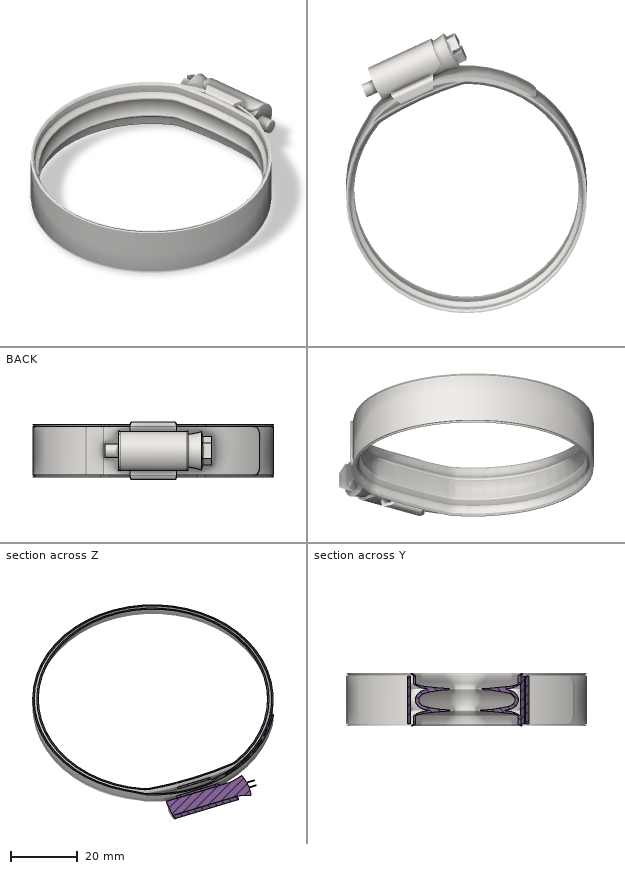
import cadquery as cq
import math


BAND_OUTER_R = 36.1
BAND_THICKNESS = 0.6
BAND_WIDTH = 14.5
LAP_CLEARANCE = 0.05
BAND_START_ANGLE = 98.5
JOG_START_ANGLE = 56
JOG_END_ANGLE = 66
TAIL_END_ANGLE = 150
TAIL_CORNER_R = 2.6

LINER_OUTER_R = BAND_OUTER_R - BAND_THICKNESS
LINER_THICKNESS = 0.4
LINER_HALF_WIDTH = 7.9
LIP_START_Z = 7.3
LIP_FLARE = 0.5
FLAT_END_Z = 4.8
BEAD_SLOPE_Z = 3.6
BEAD_CREST_Z = 3.2
BEAD_GROOVE_Z = 2.8
BEAD_HEIGHT = 1.4
CREST_ROUND_SLOPE_SIDE = 0.2
CREST_ROUND_GROOVE_SIDE = 0.2
GROOVE_SAGITTA = 0.9
BRIDGE_R = 100
BRIDGE_BLEND_R = 8
LINER_SPLIT_X = 4.9
LINER_SPLIT_GAP = 0.05

SCREW_Y = 40.85
SCREW_R = 4.95
SCREW_HEAD_X = -17.5
FLANGE_X = -14.4
FLANGE_R = 5.75
FLANGE_DOME = 1.0
NECK_SAG = 0.1
TIP_R = 2.05
TIP_END_X = 14.45
HEX_ACROSS_FLATS = 8.1
SLOT_WIDTH = 1.5

SLEEVE_OUTER_R = 5.9
SLEEVE_HALF_LENGTH = 10.4
RIM_LENGTH = 0.5
RIM_FLARE = 0.05
SLEEVE_EDGE_Y = 40.2
LOOP_HALF_WIDTH = 8.65
LOOP_TOP_Y = 37.95
LOOP_BOTTOM_Y = 34.0
LOOP_THICKNESS = 0.9
LOOP_TOP_CORNER_R = 1.3
LOOP_BOTTOM_CORNER_R = 0.9
SADDLE_HALF_TOP = 7.0
SADDLE_HALF_BOTTOM = 5.1
SADDLE_CURVE_BULGE = 0.3


def polar(radius, angle):
    """Point in the XY plane at the given radius and angle in degrees."""
    a = math.radians(angle)
    return (radius * math.cos(a), radius * math.sin(a))


def make_screw():
    """Worm screw: slotted hex head, domed flange, waisted neck, thread core and plain tip."""
    dome_x = FLANGE_X - FLANGE_DOME
    dome_mid_r = FLANGE_R / 2
    dome_radius = (FLANGE_R**2 + FLANGE_DOME**2) / (2 * FLANGE_DOME)
    dome_mid_x = dome_x + dome_radius - math.sqrt(dome_radius**2 - dome_mid_r**2)
    neck_mid_x = (FLANGE_X - SLEEVE_HALF_LENGTH) / 2
    neck_mid_r = (FLANGE_R + SCREW_R) / 2 - NECK_SAG
    shaft = (
        cq.Workplane("XY")
        .moveTo(dome_x, 0)
        .threePointArc((dome_mid_x, dome_mid_r), (FLANGE_X, FLANGE_R))
        .threePointArc((neck_mid_x, neck_mid_r), (-SLEEVE_HALF_LENGTH, SCREW_R))
        .lineTo(SLEEVE_HALF_LENGTH, SCREW_R)
        .lineTo(SLEEVE_HALF_LENGTH, TIP_R)
        .lineTo(TIP_END_X, TIP_R)
        .lineTo(TIP_END_X, 0)
        .close()
        .revolve(360, (0, 0, 0), (1, 0, 0))
    )
    hex_diameter = HEX_ACROSS_FLATS / math.cos(math.pi / 6)
    head_length = FLANGE_X - SCREW_HEAD_X
    head = (
        cq.Workplane("YZ", origin=(SCREW_HEAD_X, 0, 0))
        .transformed(rotate=(0, 0, 90))
        .polygon(6, hex_diameter)
        .extrude(head_length)
    )
    slot = cq.Workplane("XY").box(2 * head_length, SLOT_WIDTH, 2 * hex_diameter)
    head = head.cut(slot.translate((FLANGE_X, 0, 0)))
    return shaft.union(head).translate((0, SCREW_Y, 0))


def make_housing():
    """Sleeve around the screw joined to a flat loop that wraps the band edges."""
    length = 2 * SLEEVE_HALF_LENGTH
    section = cq.Workplane("YZ", origin=(-SLEEVE_HALF_LENGTH, 0, 0))
    tube_r = SLEEVE_OUTER_R - RIM_FLARE
    rim_start = SLEEVE_HALF_LENGTH - RIM_LENGTH
    sleeve = (
        cq.Workplane("XY")
        .moveTo(-SLEEVE_HALF_LENGTH, SCREW_R)
        .lineTo(-SLEEVE_HALF_LENGTH, SLEEVE_OUTER_R)
        .lineTo(-rim_start, tube_r)
        .lineTo(rim_start, tube_r)
        .lineTo(SLEEVE_HALF_LENGTH, SLEEVE_OUTER_R)
        .lineTo(SLEEVE_HALF_LENGTH, SCREW_R)
        .close()
        .revolve(360, (0, 0, 0), (1, 0, 0))
        .translate((0, SCREW_Y, 0))
    )
    loop_height = LOOP_TOP_Y - LOOP_BOTTOM_Y
    loop_section = section.center((LOOP_TOP_Y + LOOP_BOTTOM_Y) / 2, 0)
    loop = (
        loop_section.rect(loop_height, 2 * LOOP_HALF_WIDTH)
        .extrude(length)
        .edges("|X and >Y")
        .fillet(LOOP_TOP_CORNER_R)
        .edges("|X and <Y")
        .fillet(LOOP_BOTTOM_CORNER_R)
    )
    window = (
        loop_section.rect(loop_height - 2 * LOOP_THICKNESS, 2 * (LOOP_HALF_WIDTH - LOOP_THICKNESS))
        .extrude(length)
        .edges("|X and >Y")
        .fillet(LOOP_TOP_CORNER_R - LOOP_THICKNESS)
    )
    bore = section.center(SCREW_Y, 0).circle(SCREW_R).extrude(length)
    body = sleeve.union(loop).cut(bore).cut(window)

    side = SLEEVE_HALF_LENGTH
    top = SCREW_Y + SLEEVE_OUTER_R
    curve_x = (SLEEVE_HALF_LENGTH + SADDLE_HALF_TOP) / 2 + SADDLE_CURVE_BULGE
    curve_y = (SLEEVE_EDGE_Y + LOOP_TOP_Y) / 2 - SADDLE_CURVE_BULGE
    outline = (
        cq.Workplane("XY")
        .moveTo(-side, top)
        .lineTo(-side, SLEEVE_EDGE_Y)
        .threePointArc((-curve_x, curve_y), (-SADDLE_HALF_TOP, LOOP_TOP_Y))
        .lineTo(-SADDLE_HALF_BOTTOM, LOOP_BOTTOM_Y)
        .lineTo(SADDLE_HALF_BOTTOM, LOOP_BOTTOM_Y)
        .lineTo(SADDLE_HALF_TOP, LOOP_TOP_Y)
        .threePointArc((curve_x, curve_y), (side, SLEEVE_EDGE_Y))
        .lineTo(side, top)
        .close()
        .extrude(LOOP_HALF_WIDTH, both=True)
    )
    return body.intersect(outline)


def make_band(screw):
    """Strap that circles the ring once, jogs outward and ends as a rounded overlapping tail."""
    ring_in = BAND_OUTER_R - BAND_THICKNESS
    tail_in = BAND_OUTER_R + LAP_CLEARANCE
    tail_out = tail_in + BAND_THICKNESS
    ring_mid = (BAND_START_ANGLE + JOG_START_ANGLE + 360) / 2
    tail_mid = (JOG_END_ANGLE + TAIL_END_ANGLE) / 2
    band = (
        cq.Workplane("XY")
        .moveTo(*polar(ring_in, BAND_START_ANGLE))
        .threePointArc(polar(ring_in, ring_mid), polar(ring_in, JOG_START_ANGLE))
        .lineTo(*polar(tail_in, JOG_END_ANGLE))
        .threePointArc(polar(tail_in, tail_mid), polar(tail_in, TAIL_END_ANGLE))
        .lineTo(*polar(tail_out, TAIL_END_ANGLE))
        .threePointArc(polar(tail_out, tail_mid), polar(tail_out, JOG_END_ANGLE))
        .lineTo(*polar(BAND_OUTER_R, JOG_START_ANGLE))
        .threePointArc(polar(BAND_OUTER_R, ring_mid), polar(BAND_OUTER_R, BAND_START_ANGLE))
        .close()
        .extrude(BAND_WIDTH / 2, both=True)
    )
    end_x, end_y = polar((tail_in + tail_out) / 2, TAIL_END_ANGLE)
    for end_z in (-BAND_WIDTH / 2, BAND_WIDTH / 2):
        corner = cq.selectors.NearestToPointSelector((end_x, end_y, end_z))
        band = band.edges(corner).fillet(TAIL_CORNER_R)
    return band.cut(screw)


def liner_segment(center, radius, start_angle, end_angle):
    """Liner strip bent to an outer radius about a centre in XY, between two angles in degrees."""
    inner = radius - LINER_THICKNESS
    crest = inner - BEAD_HEIGHT
    slope_edge = crest + CREST_ROUND_SLOPE_SIDE
    groove_edge = crest + CREST_ROUND_GROOVE_SIDE
    bead_back = groove_edge + LINER_THICKNESS
    segment = (
        cq.Workplane("XZ")
        .moveTo(radius + LIP_FLARE, LINER_HALF_WIDTH)
        .lineTo(inner + LIP_FLARE, LINER_HALF_WIDTH)
        .lineTo(inner, LIP_START_Z)
        .lineTo(inner, FLAT_END_Z)
        .lineTo(slope_edge, BEAD_SLOPE_Z)
        .threePointArc((crest, BEAD_CREST_Z), (groove_edge, BEAD_GROOVE_Z))
        .threePointArc((groove_edge + GROOVE_SAGITTA, 0), (groove_edge, -BEAD_GROOVE_Z))
        .threePointArc((crest, -BEAD_CREST_Z), (slope_edge, -BEAD_SLOPE_Z))
        .lineTo(inner, -FLAT_END_Z)
        .lineTo(inner, -LIP_START_Z)
        .lineTo(inner + LIP_FLARE, -LINER_HALF_WIDTH)
        .lineTo(radius + LIP_FLARE, -LINER_HALF_WIDTH)
        .lineTo(radius, -LIP_START_Z)
        .lineTo(radius, -FLAT_END_Z)
        .lineTo(bead_back, -BEAD_CREST_Z)
        .threePointArc((bead_back + GROOVE_SAGITTA, 0), (bead_back, BEAD_CREST_Z))
        .lineTo(radius, FLAT_END_Z)
        .lineTo(radius, LIP_START_Z)
        .close()
        .revolve(end_angle - start_angle, (0, 0, 0), (0, 1, 0))
    )
    segment = segment.rotate((0, 0, 0), (0, 0, 1), start_angle)
    return segment.translate((center[0], center[1], 0))


def make_liner():
    """Liner: a round ring with a flatter bridge under the housing, blended in and split once."""
    bridge_y = LOOP_BOTTOM_Y - LIP_FLARE - BRIDGE_R
    to_ring = LINER_OUTER_R - BRIDGE_BLEND_R
    to_bridge = BRIDGE_R - BRIDGE_BLEND_R
    blend_y = (to_ring**2 - to_bridge**2 + bridge_y**2) / (2 * bridge_y)
    blend_x = math.sqrt(to_ring**2 - blend_y**2)
    ring_angle = math.degrees(math.atan2(blend_y, blend_x))
    bridge_angle = math.degrees(math.atan2(blend_y - bridge_y, blend_x))
    ring = liner_segment((0, 0), LINER_OUTER_R, 180 - ring_angle, 360 + ring_angle)
    bridge = liner_segment((0, bridge_y), BRIDGE_R, bridge_angle, 180 - bridge_angle)
    right = liner_segment((blend_x, blend_y), BRIDGE_BLEND_R, ring_angle, bridge_angle)
    left = liner_segment((-blend_x, blend_y), BRIDGE_BLEND_R, 180 - bridge_angle, 180 - ring_angle)
    liner = ring.union(right).union(bridge).union(left)
    split = cq.Workplane("XY").box(LINER_SPLIT_GAP, LINER_OUTER_R, 3 * LINER_HALF_WIDTH)
    return liner.cut(split.translate((LINER_SPLIT_X, LOOP_BOTTOM_Y, 0)))


screw = make_screw()
housing = make_housing()
band = make_band(screw)
liner = make_liner()

bodies = [screw, housing, band, liner]
result = cq.Compound.makeCompound([body.solids().val() for body in bodies])